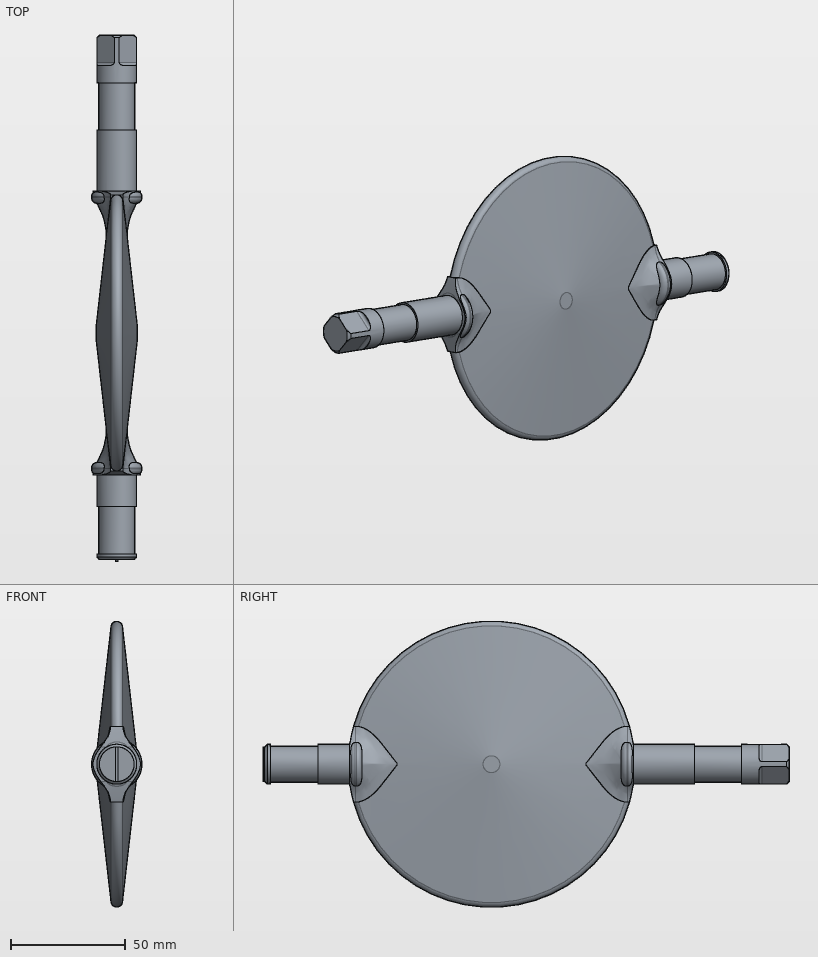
import cadquery as cq
import math


disc_radius = 62.3
disc_face_radius = 60.2
disc_center_half = 9.0
disc_rim_half = 2.5
disc_flat_radius = 3.7

spindle_radius = 17.5 / 2
groove_radius = 15.8 / 2
drive_end = 129.5
drive_collar_start = 108.8
drive_groove_start = 88.5
plain_shoulder = -75.5
plain_collar_start = -96.2
plain_end = -98.7
end_chamfer = 1.1

drive_across_flats = 13.7
drive_length = 13.3
drive_foot_radius = 1.4
tongue_height = 0.7
tongue_width = 1.1

hub_end = 61.8
bead_radius = 22.0 / 2
bead_width = 5.5
bead_fillet = 2.5
flare_tip = 41.2
flare_end = 59.0
flare_half_width = 16.5
flare_crest = 10.3
flare_growth = 1.6
flare_tip_scale = 0.03
flare_sections = 5
bell_steps = 8


def disc_half_thickness(radius):
    """Half thickness of the conical disc face at a distance from the centre."""
    fraction = (radius - disc_flat_radius) / (disc_face_radius - disc_flat_radius)
    return disc_center_half + fraction * (disc_rim_half - disc_center_half)


def make_disc():
    profile = (
        cq.Workplane("XY")
        .moveTo(-disc_center_half, 0)
        .lineTo(-disc_center_half, disc_flat_radius)
        .lineTo(-disc_rim_half, disc_face_radius)
        .threePointArc((0, disc_radius), (disc_rim_half, disc_face_radius))
        .lineTo(disc_center_half, disc_flat_radius)
        .lineTo(disc_center_half, 0)
        .close()
    )
    disc = profile.revolve(360, (0, 0, 0), (1, 0, 0))
    return disc.intersect(cq.Workplane("XY").box(4 * disc_center_half, 2 * hub_end, 3 * disc_radius))


def spindle_length(radius, start, end):
    """Cylinder along Y between two positions."""
    return cq.Workplane("XZ", origin=(0, end, 0)).circle(radius).extrude(end - start)


def make_drive_end():
    collar = spindle_length(spindle_radius, drive_collar_start, drive_end)
    collar = collar.faces(">Y").chamfer(end_chamfer)
    half_flats = drive_across_flats / 2
    cutter = (
        cq.Workplane("XY")
        .box(spindle_radius, drive_length, 3 * spindle_radius, centered=(False, False, True))
        .edges("<X and <Y")
        .fillet(drive_foot_radius)
        .translate((half_flats, drive_end - drive_length, 0))
    )
    for angle in (45, 135, 225, 315):
        collar = collar.cut(cutter.rotate((0, 0, 0), (0, 1, 0), angle))
    return collar


def make_plain_end():
    collar = spindle_length(spindle_radius, plain_end, plain_collar_start)
    collar = collar.faces("<Y").chamfer(end_chamfer)
    tongue_length = 2 * (spindle_radius - end_chamfer)
    tongue = cq.Workplane("XY").box(tongue_width, 2 * tongue_height, tongue_length)
    return collar.union(tongue.translate((0, plain_end, 0)))


def make_flare(side):
    """Bell-shaped blend on one face of the disc, growing from a tip towards +Y."""
    flare = cq.Workplane("XZ")
    previous = 0
    for index in range(flare_sections):
        along = index / (flare_sections - 1)
        y = flare_tip + along * (flare_end - flare_tip)
        width = flare_half_width * max(math.sin(along * math.pi / 2), flare_tip_scale)
        base = disc_half_thickness(y)
        rise = (flare_crest - base) * along ** flare_growth
        bell = []
        for step in range(bell_steps + 1):
            across = 2 * step / bell_steps - 1
            height = base + rise * math.cos(across * math.pi / 2) ** 2
            bell.append((side * height, across * width))
        flare = flare.workplane(offset=previous - y).moveTo(0, -width).lineTo(*bell[0])
        flare = flare.spline(bell[1:], includeCurrent=True).lineTo(0, width).close()
        previous = y
    blend = flare.loft(combine=True)
    end_face = blend.faces(">Y").wires().toPending().workplane()
    blend = blend.union(end_face.extrude(hub_end - flare_end, combine=False))
    disc_outline = cq.Workplane("YZ").circle(disc_radius).extrude(bead_radius, both=True)
    return blend.intersect(disc_outline)


def make_hub():
    bead = spindle_length(bead_radius, hub_end - bead_width, hub_end)
    bead = bead.edges().fillet(bead_fillet)
    return bead.union(make_flare(1)).union(make_flare(-1))


hub = make_hub()
result = (
    make_disc()
    .union(spindle_length(spindle_radius, hub_end - bead_width / 2, drive_groove_start))
    .union(spindle_length(groove_radius, drive_groove_start, drive_collar_start))
    .union(make_drive_end())
    .union(spindle_length(spindle_radius, plain_shoulder, bead_width / 2 - hub_end))
    .union(spindle_length(groove_radius, plain_collar_start, plain_shoulder))
    .union(make_plain_end())
    .union(hub)
    .union(hub.rotate((0, 0, 0), (0, 0, 1), 180))
)